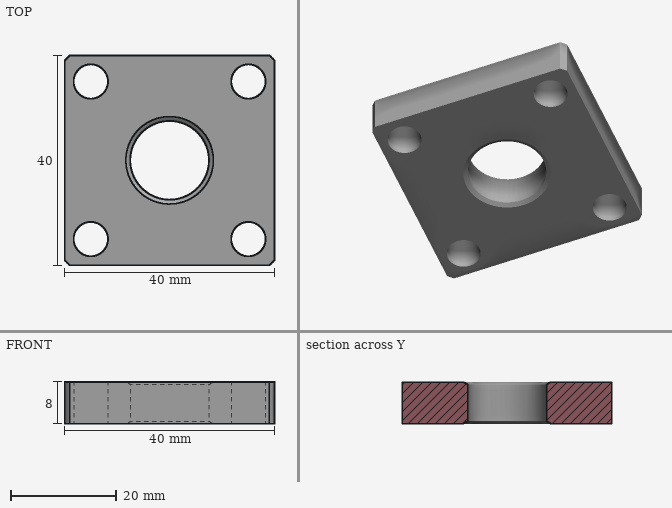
import cadquery as cq
import math

plate_side = 40.0
plate_thickness = 8.0
corner_chamfer = 1.0

mounting_hole_diameter = 6.5
mounting_hole_spacing = 30.0

bore_diameter = 14.95
bore_rim_diameter = 16.662
countersink_angle = 120.0
countersink_width = (bore_rim_diameter - bore_diameter) / 2
countersink_depth = countersink_width / math.tan(math.radians(countersink_angle / 2))


def make_plate():
    """Square plate, bottom face on Z = 0, with chamfered vertical edges."""
    plate = cq.Workplane("XY").box(
        plate_side, plate_side, plate_thickness, centered=(True, True, False)
    )
    return plate.edges("|Z").chamfer(corner_chamfer)


def make_bore_cutter():
    """Revolved half profile of the through bore and its two countersinks."""
    bore_radius = bore_diameter / 2
    rim_radius = bore_rim_diameter / 2
    return (
        cq.Workplane("XZ")
        .moveTo(0, 0)
        .lineTo(rim_radius, 0)
        .lineTo(bore_radius, countersink_depth)
        .lineTo(bore_radius, plate_thickness - countersink_depth)
        .lineTo(rim_radius, plate_thickness)
        .lineTo(0, plate_thickness)
        .close()
        .revolve(360, (0, 0, 0), (0, 1, 0))
    )


def make_mounting_hole_cutters():
    """Four cylinders on a square pattern through the plate."""
    return (
        cq.Workplane("XY")
        .rarray(mounting_hole_spacing, mounting_hole_spacing, 2, 2)
        .circle(mounting_hole_diameter / 2)
        .extrude(plate_thickness)
    )


result = make_plate().cut(make_bore_cutter()).cut(make_mounting_hole_cutters())